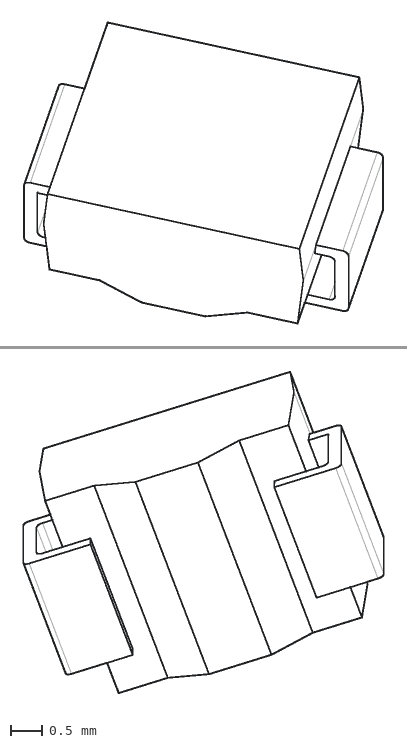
import cadquery as cq

body_depth = 3.62
body_top_z = 2.4
belt_z = 1.6
shoulder_z = 0.44
belly_z = 0.1
top_half_width = 2.095
belt_half_width = 2.16
shoulder_half_width = 2.065
belly_root_half_width = 1.23
belly_half_width = 0.53

overall_length = 5.4
lead_width = 2.08
lead_thickness = 0.225
lead_top_z = 1.57
foot_inner_x = 1.56
bend_radius = 0.1
lead_embed = 0.3

lead_outer_x = overall_length / 2
lead_inner_x = lead_outer_x - lead_thickness
lead_root_x = belt_half_width - lead_embed


def extrude_centred(profile, depth):
    """Extrude an XZ profile by the given depth, centred on Y = 0."""
    return profile.extrude(depth / 2, both=True)


def make_body():
    """Drafted body with a tapered belly that stands just above the mounting plane."""
    right_side = [
        (belly_half_width, belly_z),
        (belly_root_half_width, shoulder_z),
        (shoulder_half_width, shoulder_z),
        (belt_half_width, belt_z),
        (top_half_width, body_top_z),
    ]
    left_side = [(-x, z) for x, z in reversed(right_side)]
    profile = cq.Workplane("XZ").polyline(right_side + left_side).close()
    return extrude_centred(profile, body_depth)


def corner_edges(lead, x, z):
    """Select the lead edge parallel to Y that passes through (x, z)."""
    return lead.edges(cq.NearestToPointSelector((x, 0, z)))


def make_lead(side, round_upper_inner_corner):
    """Bent lead on one end of the body; side is +1 for +X and -1 for -X."""
    arm_underside_z = lead_top_z - lead_thickness
    points = [
        (lead_root_x, lead_top_z),
        (lead_outer_x, lead_top_z),
        (lead_outer_x, 0),
        (foot_inner_x, 0),
        (foot_inner_x, lead_thickness),
        (lead_inner_x, lead_thickness),
        (lead_inner_x, arm_underside_z),
        (lead_root_x, arm_underside_z),
    ]
    profile = cq.Workplane("XZ").polyline([(side * x, z) for x, z in points]).close()
    lead = extrude_centred(profile, lead_width)

    rounded_corners = [
        (lead_outer_x, lead_top_z),
        (lead_outer_x, 0),
        (lead_inner_x, lead_thickness),
    ]
    if round_upper_inner_corner:
        rounded_corners.append((lead_inner_x, arm_underside_z))
    for x, z in rounded_corners:
        lead = corner_edges(lead, side * x, z).fillet(bend_radius)
    return lead


right_lead = make_lead(1, round_upper_inner_corner=True)
left_lead = make_lead(-1, round_upper_inner_corner=False)

result = make_body().union(right_lead).union(left_lead)